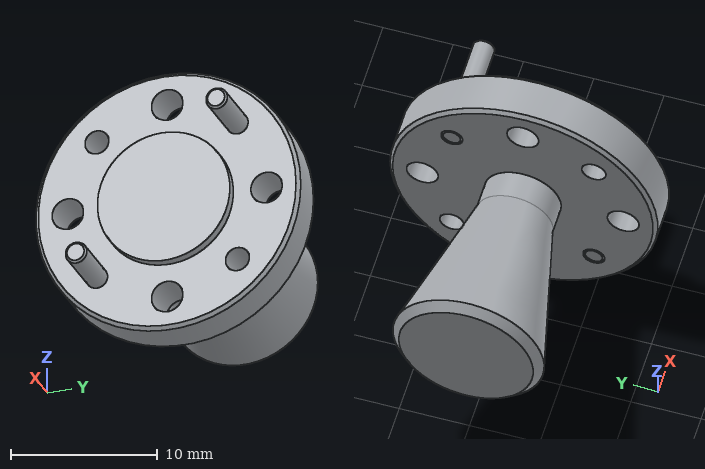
import cadquery as cq
import math

KNOB_CHAMFER_LENGTH = 0.6
CONE_END = 11.73
FLANGE_FRONT = 13.73
FLANGE_BACK = 17.02
BOSS_BACK = 17.77
PIN_TIP = 21.65

KNOB_FACE_RADIUS = 4.78
KNOB_RADIUS = 5.4
NECK_RADIUS = 2.73
FLANGE_RADIUS = 9.53
FLANGE_CHAMFER = 0.25
BOSS_RADIUS = 4.76

PITCH_RADIUS = 7.15
SCREW_HOLE_DIAMETER = 2.25
DOWEL_HOLE_DIAMETER = 1.7
PIN_DIAMETER = 1.54
PIN_CHAMFER = 0.15
SCREW_HOLE_ANGLES = (0, 90, 180, 270)
DOWEL_HOLE_ANGLES = (135, 315)
PIN_ANGLES = (45, 225)


def pitch_point(angle):
    """Y and Z of a place on the pitch circle, angle in degrees from +Y toward +Z."""
    turn = math.radians(angle)
    return (PITCH_RADIUS * math.cos(turn), PITCH_RADIUS * math.sin(turn))


def flange_cylinders(diameter, angles, end):
    """Cylinders along +X, from the flange front to the given X position."""
    return (
        cq.Workplane("YZ", origin=(FLANGE_FRONT, 0, 0))
        .pushPoints([pitch_point(angle) for angle in angles])
        .circle(diameter / 2)
        .extrude(end - FLANGE_FRONT)
    )


def make_flanged_knob():
    """Turned knob, neck, flange and boss, with the flange holes cut through."""
    profile = [
        (0, 0),
        (0, KNOB_FACE_RADIUS),
        (KNOB_CHAMFER_LENGTH, KNOB_RADIUS),
        (CONE_END, NECK_RADIUS),
        (FLANGE_FRONT, NECK_RADIUS),
        (FLANGE_FRONT, FLANGE_RADIUS - FLANGE_CHAMFER),
        (FLANGE_FRONT + FLANGE_CHAMFER, FLANGE_RADIUS),
        (FLANGE_BACK - FLANGE_CHAMFER, FLANGE_RADIUS),
        (FLANGE_BACK, FLANGE_RADIUS - FLANGE_CHAMFER),
        (FLANGE_BACK, BOSS_RADIUS),
        (BOSS_BACK, BOSS_RADIUS),
        (BOSS_BACK, 0),
    ]
    body = cq.Workplane("XY").polyline(profile).close().revolve(360, (0, 0, 0), (1, 0, 0))
    hole_sets = (
        (SCREW_HOLE_DIAMETER, SCREW_HOLE_ANGLES),
        (DOWEL_HOLE_DIAMETER, DOWEL_HOLE_ANGLES),
        (PIN_DIAMETER, PIN_ANGLES),
    )
    for diameter, angles in hole_sets:
        body = body.cut(flange_cylinders(diameter, angles, FLANGE_BACK))
    return body


def make_dowel_pin(angle):
    """Pin flush with the flange front, chamfered at both ends."""
    pin = flange_cylinders(PIN_DIAMETER, [angle], PIN_TIP)
    return pin.faces("<X or >X").chamfer(PIN_CHAMFER)


flanged_knob = make_flanged_knob()
dowel_pins = [make_dowel_pin(angle) for angle in PIN_ANGLES]

result = cq.Compound.makeCompound([flanged_knob.val(), *[pin.val() for pin in dowel_pins]])